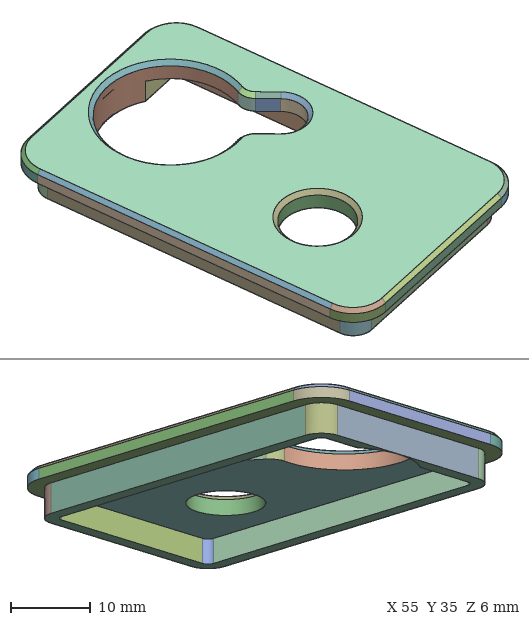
import cadquery as cq
import math

length = 55.0
width = 35.0
height = 6.0
plate_thickness = 2.0
corner_radius = 5.0
edge_chamfer = 0.55

skirt_inset = 2.15
skirt_wall = 1.85
floor_thickness = 2.7
skirt_height = height - plate_thickness

round_hole_diameter = 10.0
round_hole_center = (11.3, -4.4)

keyhole_center = (-15.6, 1.55)
keyhole_radius = 9.7
neck_end = (-4.3, 9.4)
neck_radius = 3.45
neck_blend_radius = 2.5

hole_chamfer = 0.6


def rounded_block(inset, bottom, block_height):
    """Block inset from the plate outline, with concentric rounded corners."""
    return (
        cq.Workplane("XY", origin=(0, 0, bottom))
        .rect(length - 2 * inset, width - 2 * inset)
        .extrude(block_height)
        .edges("|Z")
        .fillet(corner_radius - inset)
    )


def cylinder(center, radius):
    return cq.Workplane("XY").center(*center).circle(radius).extrude(height)


def keyhole_cutter():
    """Full-height keyhole with blended corners where the neck meets the circle."""
    run_x = neck_end[0] - keyhole_center[0]
    run_y = neck_end[1] - keyhole_center[1]
    neck_length = math.hypot(run_x, run_y)
    neck_angle = math.degrees(math.atan2(run_y, run_x))
    neck = (
        cq.Workplane("XY")
        .center(neck_length / 2, 0)
        .rect(neck_length, 2 * neck_radius)
        .extrude(height)
    )
    cutter = (
        cylinder((0, 0), keyhole_radius)
        .union(neck)
        .union(cylinder((neck_length, 0), neck_radius))
    )
    corner_x = math.sqrt(keyhole_radius**2 - neck_radius**2)
    corners = [
        cq.selectors.NearestToPointSelector((corner_x, side * neck_radius, height / 2))
        for side in (-1, 1)
    ]
    cutter = cutter.edges(corners[0] + corners[1]).fillet(neck_blend_radius)
    cutter = cutter.rotate((0, 0, 0), (0, 0, 1), neck_angle)
    return cutter.translate((*keyhole_center, 0))


plate = rounded_block(0, skirt_height, plate_thickness).faces(">Z").edges().chamfer(edge_chamfer)
skirt = rounded_block(skirt_inset, 0, skirt_height)
cavity = rounded_block(skirt_inset + skirt_wall, 0, height - floor_thickness)
result = plate.union(skirt).cut(cavity)

result = result.cut(cylinder(round_hole_center, round_hole_diameter / 2))
result = result.cut(keyhole_cutter())
top_face = result.faces(">Z").val()
hole_rims = [edge for wire in top_face.innerWires() for edge in wire.Edges()]
result = result.newObject(hole_rims).chamfer(hole_chamfer)